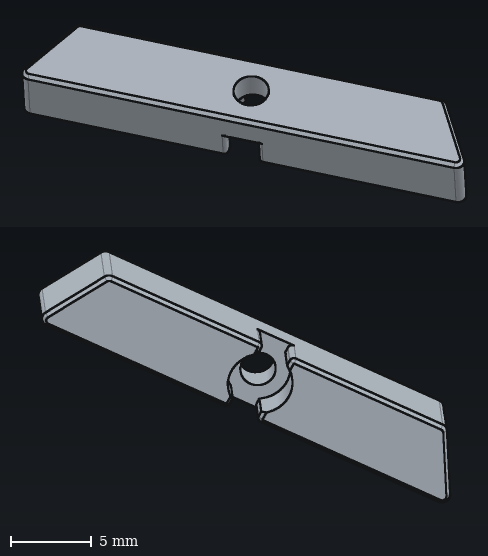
import cadquery as cq
import math

overall_length = 28.4
depth = 4.77
height = 4.2
tilt_angle = 7.4
end_angle = 60.0
corner_radius = 0.5
edge_chamfer = 0.25
hole_diameter = 2.2
counterbore_diameter = 4.0
slot_width = 2.0
slot_depth = 2.22
mouth_radius = 0.28

corner_overhang = corner_radius * (1 / math.tan(math.radians(end_angle / 2)) - 1)
front_half_length = overall_length / 2 + corner_overhang
back_half_length = front_half_length - depth / math.tan(math.radians(end_angle))


def make_bar():
    """Trapezoidal bar with rounded upright corners, centred on the origin."""
    outline = [
        (-front_half_length, -depth / 2),
        (front_half_length, -depth / 2),
        (back_half_length, depth / 2),
        (-back_half_length, depth / 2),
    ]
    bar = cq.Workplane("XY").polyline(outline).close().extrude(height)
    bar = bar.translate((0, 0, -height / 2))
    return bar.edges("|Z").fillet(corner_radius)


def cut_slot(bar):
    """Cut a slot across the underside, from front to back."""
    slot = cq.Workplane("XY").box(slot_width, depth, slot_depth)
    return bar.cut(slot.translate((0, 0, (slot_depth - height) / 2)))


def round_slot_mouths(bar):
    """Round the upright edges where the slot meets the front and back faces."""
    mouth_box = cq.selectors.BoxSelector(
        (-slot_width, -depth, -height),
        (slot_width, depth, height),
    )
    return bar.edges("|Z").edges(mouth_box).fillet(mouth_radius)


def chamfer_rims(bar):
    """Chamfer every edge of the top and bottom faces."""
    return bar.faces("<Z or >Z").edges().chamfer(edge_chamfer)


def cut_screw_hole(bar):
    """Drill the central hole square to the top, counterbored from below to the slot ceiling."""
    hole = cq.Workplane("XY").circle(hole_diameter / 2).extrude(height, both=True)
    counterbore = (
        cq.Workplane("XY", origin=(0, 0, -height / 2))
        .circle(counterbore_diameter / 2)
        .extrude(slot_depth)
    )
    return bar.cut(hole).cut(counterbore)


bar = make_bar()
bar = cut_slot(bar)
bar = round_slot_mouths(bar)
bar = chamfer_rims(bar)
bar = cut_screw_hole(bar)
result = bar.rotate((0, 0, 0), (1, 0, 0), tilt_angle)